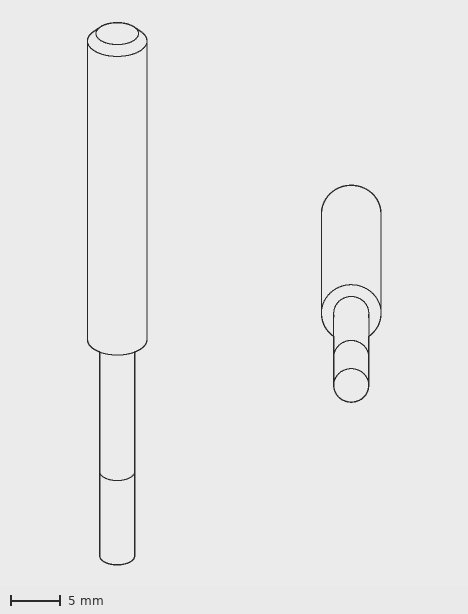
import cadquery as cq

total_length = 62.0
shank_diameter = 6.0
shank_length = 35.95
shank_chamfer = 0.85
drill_diameter = 3.55
head_length = 10.55
tip_height = 0.6

shank_bottom = total_length - shank_length


def make_shank_and_neck():
    """Chamfered shank that steps down to a slimmer neck, which is as wide as the cutting head."""
    shank = (
        cq.Workplane("XY")
        .workplane(offset=shank_bottom)
        .circle(shank_diameter / 2)
        .extrude(shank_length)
        .faces(">Z")
        .chamfer(shank_chamfer)
    )
    neck = (
        cq.Workplane("XY")
        .workplane(offset=head_length)
        .circle(drill_diameter / 2)
        .extrude(shank_bottom - head_length)
    )
    return shank.union(neck)


def make_cutting_head():
    """Cylindrical cutting head with a shallow conical point, butted against the neck."""
    head_radius = drill_diameter / 2
    return (
        cq.Workplane("XZ")
        .moveTo(0, 0)
        .lineTo(head_radius, tip_height)
        .lineTo(head_radius, head_length)
        .lineTo(0, head_length)
        .close()
        .revolve(360, (0, 0, 0), (0, 1, 0))
    )


shank_and_neck = make_shank_and_neck()
cutting_head = make_cutting_head()

result = cq.Compound.makeCompound([shank_and_neck.val(), cutting_head.val()])